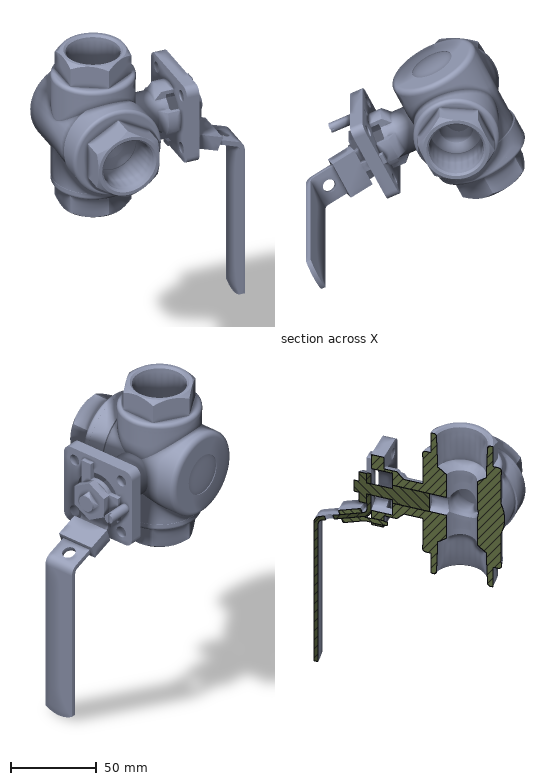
import cadquery as cq
import math


HEX_FLATS = 39.0
HEX_CORNERS = HEX_FLATS / math.cos(math.radians(30))
HEX_CHAMFER_HEIGHT = 2.6
HEX_FACE_DIA = 38.8

RUN_END = 51.2
RUN_BODY_DIA = 49.6
RUN_COLLAR_DIA = 50.0
RUN_COLLAR_START = 32.15
RUN_COLLAR_END = 36.8
RUN_COLLAR_ROUND = 2.4

BRANCH_BACK = -32.6
BRANCH_BODY_DIA = 53.5
BRANCH_BACK_ROUND = 3.2
BRANCH_SLEEVE_START = 20.65
BRANCH_SLEEVE_DIA = 56.0
BRANCH_COLLAR_DIA = 56.1
BRANCH_COLLAR_START = 31.35
BRANCH_COLLAR_END = 35.65
BRANCH_COLLAR_ROUND = 2.1
BRANCH_END = 51.5
BACK_RECESS_DIA = 25.5
BACK_RECESS_DEPTH = 0.5

BORE_DIA = 20.0
MOUTH_DIA = 34.7
THREAD_OUTER_DIA = 32.3
THREAD_INNER_DIA = 30.7
CONE_DIA = 30.0
MOUTH_DEPTH = 1.2
THREAD_DEPTH = 24.0
CONE_LENGTH = 4.0

NECK_DIA = 26.3
NECK_TOP = 43.6
LUG_OUTER_DIA = 35.0
LUG_INNER_DIA = 30.7
LUG_WIDTH = 13.5
LUG_TAPER_START = 40.6
LUG_TAPER_END = LUG_TAPER_START - (LUG_OUTER_DIA - NECK_DIA) / 2

PLATE_SIZE = 51.2
PLATE_THICK = 8.0
PLATE_BOTTOM = 48.5
PLATE_TOP = PLATE_BOTTOM + PLATE_THICK
PLATE_CORNER = 5.0
PLATE_BORE_DIA = LUG_INNER_DIA
BOLT_CIRCLE_DIA = 50.0
BOLT_HOLE_DIA = 7.0
BOLT_PITCH = BOLT_CIRCLE_DIA / math.sqrt(2)

PIN_X = -20.5
PIN_DIA = 6.0
PIN_TOP = 71.6
PIN_HOLE_DIA = 4.13
PIN_SLOT_WIDTH = 1.0
PIN_SLOT_DEPTH = 2.3

LEVER_WIDTH = 20.0
LEVER_THICK = 3.0
LEVER_TOP = PLATE_TOP + LEVER_THICK
LEVER_OUTER_FACE = 92.5
LEVER_HANDLE_Y = LEVER_OUTER_FACE - LEVER_THICK / 2
LEVER_HEAD_Y = PLATE_TOP + LEVER_THICK / 2
LEVER_BOTTOM = -134.5
LEVER_END_SAG = 3.0
LEVER_SLOPE = 20.0
BEND_RADIUS = 3.0 + LEVER_THICK / 2
HEAD_RADIUS = 12.0
UPRIGHT_LUG_LEFT = 3.0
UPRIGHT_LUG_TOP = 22.3
STOP_LUG_LEFT = PIN_X + PIN_DIA / 2
STOP_LUG_TOP = 6.6
STOP_LUG_BOTTOM = -9.8
LEVER_HOLE_DIA = 8.0
LEVER_HOLE_Y = 82.7

LOCK_Y = 68.7
LOCK_Z = -22.2
LOCK_WIDTH = 24.6
LOCK_LENGTH = 15.0
LOCK_HEIGHT = 9.0
TAB_WIDTH = 6.0
TAB_THICK = 3.0
TAB_Z = -22.5
TAB_TIP = 46.3

STEM_DIA = 14.0
STEM_FLATS = 10.2
STEM_BOTTOM = 20.0
STEM_TOP = 67.6
STEM_TIP_DIA = 10.2
STEM_TIP_LENGTH = 0.8
NUT_FLATS = 22.0
NUT_HEIGHT = 5.0
NUT_TOP = LEVER_TOP + NUT_HEIGHT


def rod(dia, start, end):
    """Cylinder along Z."""
    return cq.Workplane("XY").workplane(offset=start).circle(dia / 2).extrude(end - start)


def along_x(solid):
    """Turn a solid built along Z so that it lies along X, its X side turning to -Z."""
    return solid.rotate((0, 0, 0), (0, 1, 0), 90)


def along_y(solid):
    """Turn a solid built along Z so that it lies along Y, its Y side turning to -Z."""
    return solid.rotate((0, 0, 0), (1, 0, 0), -90)


def hexagon(start, end):
    """Port hexagon along Z, with corners on the X axis and a coned outer end."""
    prism = cq.Workplane("XY").workplane(offset=start).polygon(6, HEX_CORNERS).extrude(end - start)
    cone = (
        cq.Workplane("XZ")
        .moveTo(0, start)
        .lineTo(HEX_CORNERS / 2, start)
        .lineTo(HEX_CORNERS / 2, end - HEX_CHAMFER_HEIGHT)
        .lineTo(HEX_FACE_DIA / 2, end)
        .lineTo(0, end)
        .close()
        .revolve(360, (0, 0), (0, 1))
    )
    return prism.intersect(cone)


def passage(end):
    """Flow passage along +Z: mouth, tapered thread bore, cone and the bore down to the centre."""
    thread_end = end - THREAD_DEPTH
    return (
        cq.Workplane("XZ")
        .moveTo(0, end)
        .lineTo(MOUTH_DIA / 2, end)
        .lineTo(THREAD_OUTER_DIA / 2, end - MOUTH_DEPTH)
        .lineTo(THREAD_INNER_DIA / 2, thread_end)
        .lineTo(CONE_DIA / 2, thread_end)
        .lineTo(BORE_DIA / 2, thread_end - CONE_LENGTH)
        .lineTo(BORE_DIA / 2, 0)
        .lineTo(0, 0)
        .close()
        .revolve(360, (0, 0), (0, 1))
    )


def run_half():
    """Upper half of the straight run."""
    collar = rod(RUN_COLLAR_DIA, RUN_COLLAR_START, RUN_COLLAR_END)
    collar = collar.faces(">Z").edges().fillet(RUN_COLLAR_ROUND)
    return rod(RUN_BODY_DIA, 0, RUN_COLLAR_START).union(collar).union(hexagon(RUN_COLLAR_END, RUN_END))


def branch():
    """Side branch with its closed back and its stepped sleeve."""
    body = rod(BRANCH_BODY_DIA, BRANCH_BACK, BRANCH_SLEEVE_START)
    body = body.faces("<Z").edges().fillet(BRANCH_BACK_ROUND)
    sleeve = rod(BRANCH_SLEEVE_DIA, BRANCH_SLEEVE_START, BRANCH_COLLAR_START)
    collar = rod(BRANCH_COLLAR_DIA, BRANCH_COLLAR_START, BRANCH_COLLAR_END)
    collar = collar.faces(">Z").edges().fillet(BRANCH_COLLAR_ROUND)
    recess = rod(BACK_RECESS_DIA, BRANCH_BACK, BRANCH_BACK + BACK_RECESS_DEPTH)
    solid = body.union(sleeve).union(collar).union(hexagon(BRANCH_COLLAR_END, BRANCH_END)).cut(recess)
    return along_x(solid)


def lugs():
    """Four tapered lugs that carry the plate above the neck."""
    ring = (
        cq.Workplane("XY")
        .moveTo(0, LUG_TAPER_END)
        .lineTo(NECK_DIA / 2, LUG_TAPER_END)
        .lineTo(LUG_OUTER_DIA / 2, LUG_TAPER_START)
        .lineTo(LUG_OUTER_DIA / 2, PLATE_BOTTOM)
        .lineTo(LUG_INNER_DIA / 2, PLATE_BOTTOM)
        .lineTo(LUG_INNER_DIA / 2, NECK_TOP)
        .lineTo(0, NECK_TOP)
        .close()
        .revolve(360, (0, 0), (0, 1))
    )
    mid_y = (LUG_TAPER_END + PLATE_BOTTOM) / 2
    height = PLATE_BOTTOM - LUG_TAPER_END
    slab_x = cq.Workplane("XY").box(LUG_OUTER_DIA, height, LUG_WIDTH).translate((0, mid_y, 0))
    slab_z = cq.Workplane("XY").box(LUG_WIDTH, height, LUG_OUTER_DIA).translate((0, mid_y, 0))
    return ring.intersect(slab_x.union(slab_z))


def plate():
    """Square mounting plate with its bore, bolt holes, pin hole and slot for the lock's tab."""
    blank = cq.Workplane("XY").box(PLATE_SIZE, PLATE_SIZE, PLATE_THICK).edges("|Z").fillet(PLATE_CORNER)
    drilled = (
        blank.faces(">Z")
        .workplane()
        .rect(BOLT_PITCH, BOLT_PITCH, forConstruction=True)
        .vertices()
        .hole(BOLT_HOLE_DIA)
    )
    drilled = drilled.faces(">Z").workplane(origin=(PIN_X, 0, 0)).hole(PIN_HOLE_DIA)
    drilled = drilled.faces(">Z").workplane(origin=(0, 0, 0)).hole(PLATE_BORE_DIA)
    return along_y(drilled).translate((0, PLATE_BOTTOM + PLATE_THICK / 2, 0)).cut(lock_tab())


def stop_pin():
    """Slotted stop pin that stands on the plate over the pin hole."""
    pin = along_y(rod(PIN_DIA, PLATE_TOP, PIN_TOP))
    slot = cq.Workplane("XY").box(PIN_SLOT_WIDTH, 2 * PIN_SLOT_DEPTH, PIN_DIA).translate((0, PIN_TOP, 0))
    return pin.cut(slot).translate((PIN_X, 0, 0))


def housing_body():
    """Valve housing with ports, neck, plate and stop pin."""
    upper = run_half()
    solid = upper.union(upper.mirror("XY")).union(branch())
    solid = solid.union(along_y(rod(NECK_DIA, 0, NECK_TOP)))
    solid = solid.union(lugs()).union(plate()).union(stop_pin())
    run_passage = passage(RUN_END)
    solid = solid.cut(run_passage).cut(run_passage.mirror("XY")).cut(along_x(passage(BRANCH_END)))
    return solid.cut(along_y(rod(STEM_DIA, 0, NECK_TOP)))


def stem_shank():
    """Round stem with four flats above the neck, at 45 degrees to the axes, and a coned tip."""
    shank = (
        cq.Workplane("XZ")
        .moveTo(0, STEM_BOTTOM)
        .lineTo(STEM_DIA / 2, STEM_BOTTOM)
        .lineTo(STEM_DIA / 2, NUT_TOP)
        .lineTo(STEM_TIP_DIA / 2, STEM_TOP - STEM_TIP_LENGTH)
        .lineTo(STEM_TIP_DIA / 2, STEM_TOP)
        .lineTo(0, STEM_TOP)
        .close()
        .revolve(360, (0, 0), (0, 1))
    )
    squared = (
        cq.Workplane("XY")
        .workplane(offset=NECK_TOP)
        .rect(STEM_FLATS, STEM_FLATS)
        .extrude(STEM_TOP - NECK_TOP)
        .rotate((0, 0, 0), (0, 0, 1), 45)
    )
    limit = rod(STEM_DIA, STEM_BOTTOM, NECK_TOP).union(squared)
    return along_y(shank.intersect(limit))


def stem_body():
    """Stem with the hexagon nut that holds the lever, corners of the nut on the Z axis."""
    nut_corners = NUT_FLATS / math.cos(math.radians(30))
    nut = cq.Workplane("XY").workplane(offset=LEVER_TOP).polygon(6, nut_corners).extrude(NUT_HEIGHT)
    nut = nut.rotate((0, 0, 0), (0, 0, 1), 90)
    return stem_shank().union(along_y(nut))


def slope_z(y):
    """Height of the middle of the lever's sloped part at a given Y."""
    return LOCK_Z - (y - LOCK_Y) * math.tan(math.radians(LEVER_SLOPE))


def tilt(solid, y):
    """Move a solid built about the origin onto the sloped part of the lever at a given Y."""
    return solid.rotate((0, 0, 0), (1, 0, 0), -LEVER_SLOPE).translate((0, y, slope_z(y)))


def lever_arm():
    """Bent strip: down from the head, out along the slope and down the handle, with a rounded end."""
    turn = math.radians(90 - LEVER_SLOPE)
    tangent = BEND_RADIUS * math.tan(turn / 2)
    run_y = tangent * math.cos(math.radians(LEVER_SLOPE))
    run_z = tangent * math.sin(math.radians(LEVER_SLOPE))
    head_z = slope_z(LEVER_HEAD_Y)
    handle_z = slope_z(LEVER_HANDLE_Y)
    path = (
        cq.Workplane("YZ")
        .moveTo(LEVER_HEAD_Y, 0)
        .lineTo(LEVER_HEAD_Y, head_z + tangent)
        .tangentArcPoint((LEVER_HEAD_Y + run_y, head_z - run_z), relative=False)
        .lineTo(LEVER_HANDLE_Y - run_y, handle_z + run_z)
        .tangentArcPoint((LEVER_HANDLE_Y, handle_z - tangent), relative=False)
        .lineTo(LEVER_HANDLE_Y, LEVER_BOTTOM)
    )
    strip = cq.Workplane("XY", origin=(0, LEVER_HEAD_Y, 0)).rect(LEVER_WIDTH, LEVER_THICK).sweep(path)
    shoulder_z = LEVER_BOTTOM + LEVER_END_SAG
    outline = (
        cq.Workplane("XZ")
        .moveTo(-LEVER_WIDTH / 2, 0)
        .lineTo(-LEVER_WIDTH / 2, shoulder_z)
        .threePointArc((0, LEVER_BOTTOM), (LEVER_WIDTH / 2, shoulder_z))
        .lineTo(LEVER_WIDTH / 2, 0)
        .close()
        .extrude(-LEVER_OUTER_FACE)
    )
    hole = tilt(rod(LEVER_HOLE_DIA, -LEVER_THICK, LEVER_THICK), LEVER_HOLE_Y)
    return strip.intersect(outline).cut(hole)


def head_block(left, right, bottom, top):
    """Flat rectangle of the lever head on the plate."""
    block = cq.Workplane("XY").box(right - left, LEVER_THICK, top - bottom, centered=False)
    return block.translate((left, PLATE_TOP, bottom))


def lever_head():
    """Round head, trimmed level with the strip on +X, with an upright lug and a lug that meets the pin."""
    disc = along_y(rod(2 * HEAD_RADIUS, PLATE_TOP, LEVER_TOP))
    upright = head_block(UPRIGHT_LUG_LEFT, LEVER_WIDTH / 2, 0, UPRIGHT_LUG_TOP)
    stop = head_block(STOP_LUG_LEFT, 0, STOP_LUG_BOTTOM, STOP_LUG_TOP)
    trimmed = disc.intersect(head_block(-HEAD_RADIUS, LEVER_WIDTH / 2, -HEAD_RADIUS, HEAD_RADIUS))
    return trimmed.union(upright).union(stop)


def lever_strip():
    """Lever with a hole shaped like the stem."""
    return lever_head().union(lever_arm()).cut(stem_shank())


def lock_tab():
    """Tab of the lock that passes through the plate."""
    length = LOCK_Y - TAB_TIP
    return cq.Workplane("XY").box(TAB_WIDTH, length, TAB_THICK).translate((0, TAB_TIP + length / 2, TAB_Z))


def lock_body():
    """Lock that wraps the sloped part of the lever, with its tab."""
    block = tilt(cq.Workplane("XY").box(LOCK_WIDTH, LOCK_LENGTH, LOCK_HEIGHT), LOCK_Y)
    return block.union(lock_tab()).cut(lever_arm())


housing = housing_body()
stem = stem_body()
lever = lever_strip()
lock = lock_body()

result = cq.Compound.makeCompound([housing.val(), stem.val(), lever.val(), lock.val()])